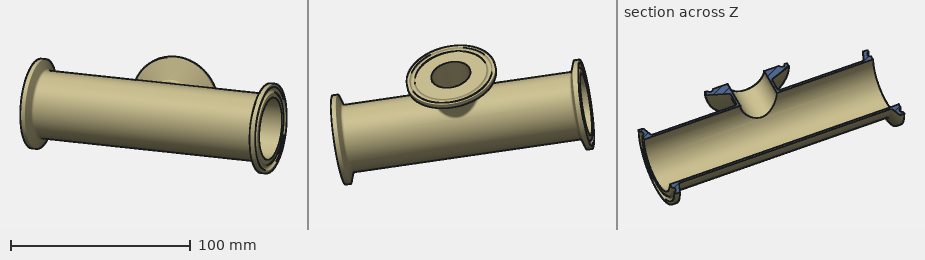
import cadquery as cq
import math

run_length = 139.7
run_od = 38.1
run_bore = 34.8
branch_od = 25.4
branch_bore = 22.1
branch_reach = 34.925
junction_fillet = 1.27

flange_od = 50.39
rim_width = 2.87
rim_fillet = 0.25
cone_angle = 20.0
neck_fillet = 1.27

groove_diameter = 43.7
groove_width = 3.05
groove_depth = 1.4
groove_lip_fillet = 0.4

margin = 0.1


def tube(diameter, length):
    """Solid cylinder along +Z from the origin."""
    return cq.Workplane("XY").circle(diameter / 2).extrude(length)


def ring_edges(body, max_radius, height):
    """Circular edges around Z at one height, up to a given radius."""
    reach = max_radius + margin
    zone = cq.selectors.BoxSelector(
        (-reach, -reach, height - margin),
        (reach, reach, height + margin),
        boundingbox=True,
    )
    return body.edges(zone).edges("%CIRCLE")


def clamp_end(tube_od, length):
    """Solid tube along +Z from the origin, ending in a grooved clamp flange."""
    flange_radius = flange_od / 2
    neck_radius = tube_od / 2
    cone_height = (flange_radius - neck_radius) * math.tan(math.radians(cone_angle))
    rim_back = length - rim_width
    cone_foot = rim_back - cone_height
    body = (
        cq.Workplane("XZ")
        .moveTo(0, 0)
        .lineTo(neck_radius, 0)
        .lineTo(neck_radius, cone_foot)
        .lineTo(flange_radius, rim_back)
        .lineTo(flange_radius, length)
        .lineTo(0, length)
        .close()
        .revolve(360, (0, 0, 0), (0, 1, 0))
    )
    body = ring_edges(body, flange_radius, cone_foot).fillet(neck_fillet)
    body = ring_edges(body, flange_radius, length).fillet(rim_fillet)
    body = ring_edges(body, flange_radius, rim_back).fillet(rim_fillet)
    return cut_gasket_groove(body, length)


def cut_gasket_groove(body, face_height):
    """Cut the ring groove into the sealing face and round its two lips."""
    groove_radius = groove_diameter / 2
    inner_radius = groove_radius - groove_width / 2
    outer_radius = groove_radius + groove_width / 2
    groove = (
        cq.Workplane("XZ")
        .moveTo(inner_radius, face_height)
        .threePointArc((groove_radius, face_height - groove_depth), (outer_radius, face_height))
        .close()
        .revolve(360, (0, 0, 0), (0, 1, 0))
    )
    grooved = body.cut(groove)
    return ring_edges(grooved, outer_radius, face_height).fillet(groove_lip_fillet)


def point_along_x(body, direction):
    """Turn a +Z body to point along +X (direction 1) or -X (direction -1)."""
    return body.rotate((0, 0, 0), (0, 1, 0), 90 * direction)


def point_along_y(body):
    """Turn a +Z body to point along +Y."""
    return body.rotate((0, 0, 0), (1, 0, 0), -90)


def junction_edges(body):
    """Edges where the branch meets the outside of the run tube."""
    half_width = branch_od / 2 + margin
    junction_zone = cq.selectors.BoxSelector(
        (-half_width, margin, -half_width),
        (half_width, run_od / 2 + margin, half_width),
        boundingbox=True,
    )
    return body.edges(junction_zone)


run_end = clamp_end(run_od, run_length / 2)
branch = point_along_y(clamp_end(branch_od, branch_reach))
tee = point_along_x(run_end, 1).union(point_along_x(run_end, -1)).union(branch)
tee = junction_edges(tee).fillet(junction_fillet)

run_hole = point_along_x(tube(run_bore, run_length).translate((0, 0, -run_length / 2)), 1)
branch_hole = point_along_y(tube(branch_bore, branch_reach))
result = tee.cut(run_hole).cut(branch_hole)